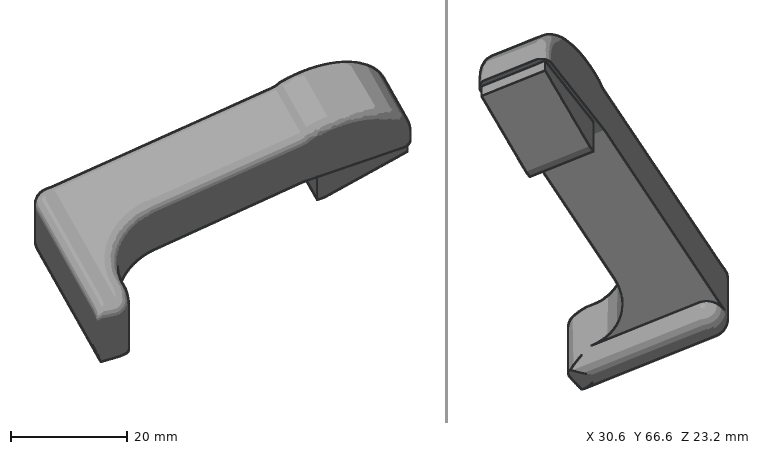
import cadquery as cq

length = 66.6
foot_width = 30.6
height = 23.2
arm_width = 13.9

foot_face_y = 0.2
foot_depth = 7.0
foot_back_y = foot_face_y + foot_depth
foot_top_z = 14.9
foot_flat_end_y = 4.25
corner_radius = 3.25
tip_bulge_start_x = 27.3
tip_nose_x = 29.45
tip_nose_middle = (29.85, 0.1)
tip_nose_end_x = 30.05
tip_nose_end_y = 0.45
tip_side_y = 3.45
tip_shoulder_middle = (30.1, 5.3)
tip_shoulder_x = 28.85
tip_shoulder_y = 6.4
tip_back_x = 25.7
inner_radius = 10.5

arm_top_end_y = 46.0
arm_top_end_z = 21.45
arm_bottom_front_z = 3.3
arm_bottom_end_y = 46.0

head_bottom_z = 10.2
head_side_top_z = 12.0
head_peak_y = 52.85
head_arc_end = 115

wedge_back_inset = 1.0
wedge_side_inset = 0.65
wedge_front_y = 48.65
wedge_tip_flat = 1.3
wedge_bottom_z = 3.0
wedge_back_z = 7.8

tip_underside_x = 25.7
tip_underside_middle = (28.45, 0.65)
tip_underside_z = 2.1

top_fillet = 2.0
crease_fillet = 1.65
crease_reach = 1.65
upward_limit = 0.2
parallel_limit = 0.999
seam_overlap = 0.65


def draw_tip(sketch):
    """Trace the foot tip from the front face to the back face with smooth arcs."""
    return (
        sketch.lineTo(tip_bulge_start_x, foot_face_y)
        .lineTo(tip_nose_x, 0)
        .threePointArc(tip_nose_middle, (tip_nose_end_x, tip_nose_end_y))
        .tangentArcPoint((foot_width, tip_side_y), relative=False)
        .threePointArc(tip_shoulder_middle, (tip_shoulder_x, tip_shoulder_y))
        .tangentArcPoint((tip_back_x, foot_back_y), relative=False)
    )


def extrude_side_profile(sketch, start_x, width):
    return sketch.close().extrude(width).translate((start_x, 0, 0))


def is_rim_edge(edge):
    """Reject the straight cross seams between neighbouring upward faces."""
    middle = edge.Center()
    runs_across = edge.geomType() == "LINE" and abs(edge.tangentAt(0).x) > parallel_limit
    is_seam = runs_across and middle.y > foot_face_y + corner_radius
    return not is_seam


def make_body():
    inner_center_x = arm_width + inner_radius
    inner_end_y = foot_back_y + inner_radius
    diagonal = inner_radius * 0.5 ** 0.5
    outline = draw_tip(cq.Workplane("XY").moveTo(corner_radius, foot_face_y))
    plan = (
        outline.lineTo(inner_center_x, foot_back_y)
        .threePointArc((inner_center_x - diagonal, inner_end_y - diagonal), (arm_width, inner_end_y))
        .lineTo(arm_width, length)
        .lineTo(0, length)
        .lineTo(0, foot_face_y + corner_radius)
        .radiusArc((corner_radius, foot_face_y), -corner_radius)
        .close()
        .extrude(height)
    )
    profile = (
        cq.Workplane("YZ")
        .moveTo(-seam_overlap, arm_bottom_front_z)
        .lineTo(foot_flat_end_y, arm_bottom_front_z)
        .lineTo(arm_bottom_end_y, head_bottom_z)
        .lineTo(length, head_bottom_z)
        .lineTo(length, head_side_top_z)
        .ellipseArc(length - head_peak_y, height - head_side_top_z, 0, head_arc_end, startAtCurrent=True)
        .lineTo(arm_top_end_y, arm_top_end_z)
        .lineTo(foot_flat_end_y, foot_top_z)
        .lineTo(-seam_overlap, foot_top_z)
    )
    body = plan.intersect(extrude_side_profile(profile, 0, foot_width))
    sharp_creases = cq.selectors.BoxSelector(
        (-seam_overlap, arm_top_end_y - crease_reach, arm_top_end_z - crease_reach),
        (foot_width, arm_top_end_y + crease_reach, arm_top_end_z + crease_reach),
    )
    body = body.edges("|X").edges(sharp_creases).fillet(crease_fillet)
    upward_faces = body.faces().filter(lambda face: face.normalAt(face.Center()).z > upward_limit)
    return upward_faces.edges().filter(is_rim_edge).fillet(top_fillet)


def make_foot_lug():
    """Rounded bar hanging below the foot."""
    bar = (
        cq.Workplane("XY")
        .box(2 * foot_width, foot_depth, height, centered=False)
        .translate((0, foot_face_y, 0))
        .edges("(|Z and <X) or <Z")
        .fillet(corner_radius)
    )
    top_z = arm_bottom_front_z + seam_overlap
    plan = draw_tip(cq.Workplane("XY").moveTo(0, foot_face_y)).lineTo(0, foot_back_y).close().extrude(top_z)
    tip_rounding = (
        cq.Workplane("XZ")
        .lineTo(tip_underside_x, 0)
        .threePointArc(tip_underside_middle, (foot_width, tip_underside_z))
        .lineTo(foot_width, top_z)
        .lineTo(0, top_z)
        .close()
        .extrude(-length)
    )
    return bar.intersect(plan).intersect(tip_rounding)


def make_wedge():
    profile = (
        cq.Workplane("YZ")
        .moveTo(wedge_front_y, head_bottom_z + seam_overlap)
        .lineTo(wedge_front_y, wedge_bottom_z)
        .lineTo(wedge_front_y + wedge_tip_flat, wedge_bottom_z)
        .lineTo(length - wedge_back_inset, wedge_back_z)
        .lineTo(length - wedge_back_inset, head_bottom_z + seam_overlap)
    )
    return extrude_side_profile(profile, wedge_side_inset, arm_width - 2 * wedge_side_inset)


result = make_body().union(make_foot_lug()).union(make_wedge())